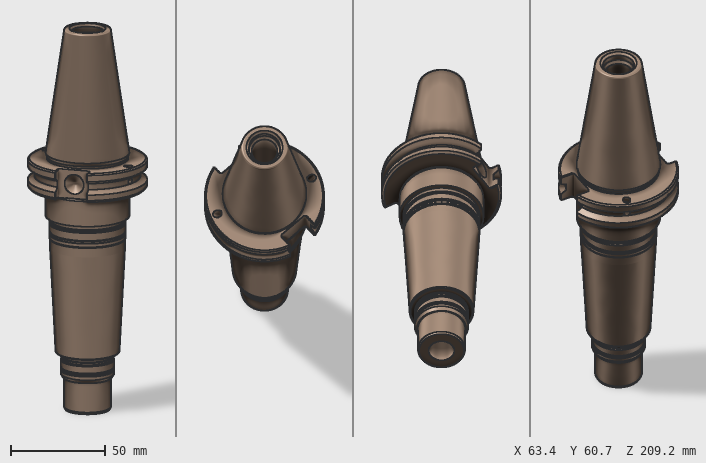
import cadquery as cq
import math

TOTAL_LENGTH = 209.2
GAUGE_Z = 141.0
GAUGE_DIAMETER = 44.5
TAPER_END_DIAMETER = 24.7
TAPER_END_ROUNDING = 1.3
TAPER_NECK_DIAMETER = 43.3
TAPER_NECK_TOP_Z = 139.0

FLANGE_DIAMETER = 63.4
FLANGE_TOP_Z = 137.8
FLANGE_THICKNESS = 15.9
FLANGE_TOP_CHAMFER = 0.8
FLANGE_BOTTOM_CHAMFER = 1.3
GROOVE_FLOOR_DIAMETER = 56.5
GROOVE_Z = 129.9
GROOVE_FLOOR_WIDTH = 3.3
GROOVE_WALL_ANGLE = 30.0

SLOT_WIDTH = 17.2
SLOT_FLOOR_FRONT = 24.7
SLOT_FLOOR_BACK = 22.4
SLOT_EDGE_CHAMFER = 0.5
SLOT_CORNER_RADIUS = 0.8
DIMPLE_DIAMETER = 10.7
DIMPLE_CONE_ANGLE = 118.0

COOLANT_HOLE_DIAMETER = 4.0
COOLANT_HOLE_TILT = 35.0
COOLANT_HOLE_MOUTH_RADIUS = 27.0
RADIAL_HOLE_DIAMETER = 3.3
COOLANT_PASSAGE_ANGLES = (160.0, 340.0)

COLLAR_DIAMETER = 44.5
COLLAR_NECK_DIAMETER = 42.7
COLLAR_NECK_BOTTOM_Z = 121.0
COLLAR_TOP_Z = 120.0
COLLAR_BOTTOM_Z = 106.2

BAND_DIAMETER = 40.5
BODY_DIAMETER = 40.0
BODY_END_DIAMETER = 34.0
BAND_CHAMFER_HEIGHT = 0.6
BAND_GROOVE_DIAMETER = 39.3
UPPER_BAND_GROOVE_TOP_Z = 103.7
UPPER_BAND_GROOVE_BOTTOM_Z = 102.0
LOWER_BAND_GROOVE_TOP_Z = 97.9
LOWER_BAND_GROOVE_BOTTOM_Z = 96.2
BAND_BOTTOM_Z = 93.7
BODY_TAPER_TOP_Z = 88.7
BODY_BOTTOM_Z = 31.2
BODY_END_CHAMFER = 0.6

RING_DIAMETER = 28.5
RING_CHAMFER_HEIGHT = 0.6
RING_TOP_DIAMETER = 27.2
RING_UPPER_GROOVE_TOP_Z = 29.3
RING_UPPER_GROOVE_BOTTOM_Z = 27.0
RING_UPPER_GROOVE_DIAMETER = 27.2
RING_LOWER_GROOVE_TOP_Z = 23.2
RING_LOWER_GROOVE_BOTTOM_Z = 21.3
RING_LOWER_GROOVE_DIAMETER = 27.6
RING_CONE_TOP_Z = 19.5
RING_BOTTOM_Z = 17.4
RING_BOTTOM_DIAMETER = 26.0
PILOT_DIAMETER = 25.0
PILOT_END_CHAMFER_WIDTH = 0.6
PILOT_END_CHAMFER_HEIGHT = 1.3

BORE_DIAMETER = 13.5
COUNTERBORE_DIAMETER = 16.5
COUNTERBORE_DEPTH = 4.4
BORE_MOUTH_DIAMETER = 19.2

FLANGE_BOTTOM_Z = FLANGE_TOP_Z - FLANGE_THICKNESS
GROOVE_DEPTH = (FLANGE_DIAMETER - GROOVE_FLOOR_DIAMETER) / 2
GROOVE_WALL_HEIGHT = GROOVE_DEPTH * math.tan(math.radians(GROOVE_WALL_ANGLE))


def revolve_profile(points):
    """Revolve (diameter, z) points, closed along the Z axis."""
    outline = [(0, points[0][1])] + [(d / 2, z) for d, z in points] + [(0, points[-1][1])]
    return cq.Workplane("XZ").polyline(outline).close().revolve(360, (0, 0), (0, 1))


def taper_points():
    return [
        (TAPER_END_DIAMETER, TOTAL_LENGTH),
        (GAUGE_DIAMETER, GAUGE_Z),
        (TAPER_NECK_DIAMETER, TAPER_NECK_TOP_Z),
        (TAPER_NECK_DIAMETER, FLANGE_TOP_Z),
    ]


def flange_points():
    floor_top = GROOVE_Z + GROOVE_FLOOR_WIDTH / 2
    floor_bottom = GROOVE_Z - GROOVE_FLOOR_WIDTH / 2
    return [
        (FLANGE_DIAMETER - 2 * FLANGE_TOP_CHAMFER, FLANGE_TOP_Z),
        (FLANGE_DIAMETER, FLANGE_TOP_Z - FLANGE_TOP_CHAMFER),
        (FLANGE_DIAMETER, floor_top + GROOVE_WALL_HEIGHT),
        (GROOVE_FLOOR_DIAMETER, floor_top),
        (GROOVE_FLOOR_DIAMETER, floor_bottom),
        (FLANGE_DIAMETER, floor_bottom - GROOVE_WALL_HEIGHT),
        (FLANGE_DIAMETER, FLANGE_BOTTOM_Z + FLANGE_BOTTOM_CHAMFER),
        (FLANGE_DIAMETER - 2 * FLANGE_BOTTOM_CHAMFER, FLANGE_BOTTOM_Z),
    ]


def body_points():
    return [
        (COLLAR_NECK_DIAMETER, FLANGE_BOTTOM_Z),
        (COLLAR_NECK_DIAMETER, COLLAR_NECK_BOTTOM_Z),
        (COLLAR_DIAMETER, COLLAR_TOP_Z),
        (COLLAR_DIAMETER, COLLAR_BOTTOM_Z),
        (BAND_DIAMETER, COLLAR_BOTTOM_Z),
        (BAND_DIAMETER, UPPER_BAND_GROOVE_TOP_Z),
        (BAND_GROOVE_DIAMETER, UPPER_BAND_GROOVE_TOP_Z),
        (BAND_GROOVE_DIAMETER, UPPER_BAND_GROOVE_BOTTOM_Z + BAND_CHAMFER_HEIGHT),
        (BAND_DIAMETER, UPPER_BAND_GROOVE_BOTTOM_Z),
        (BAND_DIAMETER, LOWER_BAND_GROOVE_TOP_Z),
        (BAND_GROOVE_DIAMETER, LOWER_BAND_GROOVE_TOP_Z - BAND_CHAMFER_HEIGHT),
        (BAND_GROOVE_DIAMETER, LOWER_BAND_GROOVE_BOTTOM_Z),
        (BAND_DIAMETER, LOWER_BAND_GROOVE_BOTTOM_Z),
        (BAND_DIAMETER, BAND_BOTTOM_Z + BAND_CHAMFER_HEIGHT),
        (BODY_DIAMETER, BAND_BOTTOM_Z),
        (BODY_DIAMETER, BODY_TAPER_TOP_Z),
        (BODY_END_DIAMETER, BODY_BOTTOM_Z + BODY_END_CHAMFER),
        (BODY_END_DIAMETER - 2 * BODY_END_CHAMFER, BODY_BOTTOM_Z),
    ]


def ring_groove_points(diameter, top_z, bottom_z):
    return [
        (RING_DIAMETER, top_z),
        (diameter, top_z - RING_CHAMFER_HEIGHT),
        (diameter, bottom_z + RING_CHAMFER_HEIGHT),
        (RING_DIAMETER, bottom_z),
    ]


def ring_and_pilot_points():
    return [
        (RING_TOP_DIAMETER, BODY_BOTTOM_Z),
        (RING_DIAMETER, BODY_BOTTOM_Z - RING_CHAMFER_HEIGHT),
        *ring_groove_points(
            RING_UPPER_GROOVE_DIAMETER, RING_UPPER_GROOVE_TOP_Z, RING_UPPER_GROOVE_BOTTOM_Z
        ),
        *ring_groove_points(
            RING_LOWER_GROOVE_DIAMETER, RING_LOWER_GROOVE_TOP_Z, RING_LOWER_GROOVE_BOTTOM_Z
        ),
        (RING_DIAMETER, RING_CONE_TOP_Z),
        (RING_BOTTOM_DIAMETER, RING_BOTTOM_Z),
        (PILOT_DIAMETER, RING_BOTTOM_Z),
        (PILOT_DIAMETER, PILOT_END_CHAMFER_HEIGHT),
        (PILOT_DIAMETER - 2 * PILOT_END_CHAMFER_WIDTH, 0),
    ]


def central_bore():
    """Through bore with a 45 degree mouth, a short counterbore and a 45 degree step."""
    mouth_depth = (BORE_MOUTH_DIAMETER - COUNTERBORE_DIAMETER) / 2
    step_depth = (COUNTERBORE_DIAMETER - BORE_DIAMETER) / 2
    step_z = TOTAL_LENGTH - COUNTERBORE_DEPTH
    return revolve_profile([
        (BORE_MOUTH_DIAMETER, TOTAL_LENGTH),
        (COUNTERBORE_DIAMETER, TOTAL_LENGTH - mouth_depth),
        (COUNTERBORE_DIAMETER, step_z),
        (BORE_DIAMETER, step_z - step_depth),
        (BORE_DIAMETER, 0),
    ])


def drive_slot(side, floor_distance):
    """Round-cornered, edge-flared slot cutter opening toward +Y (side = 1) or -Y (side = -1)."""
    half = SLOT_WIDTH / 2
    wide = half + SLOT_EDGE_CHAMFER
    depth = FLANGE_DIAMETER / 2 - floor_distance
    slot = (
        cq.Workplane("XY", origin=(0, floor_distance + depth / 2, FLANGE_BOTTOM_Z))
        .rect(SLOT_WIDTH, depth)
        .extrude(FLANGE_THICKNESS)
        .edges("|Z and <Y")
        .fillet(SLOT_CORNER_RADIUS)
    )

    flare_start_y = floor_distance + SLOT_CORNER_RADIUS
    bottom_flare = (
        cq.Workplane("XZ", origin=(0, flare_start_y, FLANGE_BOTTOM_Z))
        .polyline([(-wide, 0), (wide, 0), (half, SLOT_EDGE_CHAMFER), (-half, SLOT_EDGE_CHAMFER)])
        .close()
        .extrude(flare_start_y - FLANGE_DIAMETER / 2)
    )
    top_flare = bottom_flare.mirror("XY", (0, 0, FLANGE_TOP_Z - FLANGE_THICKNESS / 2))

    rim_y = math.sqrt((FLANGE_DIAMETER / 2) ** 2 - wide ** 2)
    outer_y = FLANGE_DIAMETER / 2
    outer_x = wide + outer_y - rim_y
    inner_y = rim_y - SLOT_EDGE_CHAMFER
    rim_flare = (
        cq.Workplane("XY", origin=(0, 0, FLANGE_BOTTOM_Z))
        .polyline([(-half, inner_y), (half, inner_y), (outer_x, outer_y), (-outer_x, outer_y)])
        .close()
        .extrude(FLANGE_THICKNESS)
    )
    cutter = slot.union(bottom_flare).union(top_flare).union(rim_flare)
    return cutter if side > 0 else cutter.mirror("XZ")


def slot_dimple():
    """Conical dimple in the floor of the -Y slot."""
    radius = DIMPLE_DIAMETER / 2
    depth = radius / math.tan(math.radians(DIMPLE_CONE_ANGLE / 2))
    mouth_center = cq.Vector(0, -SLOT_FLOOR_FRONT, GROOVE_Z)
    cone = cq.Solid.makeCone(radius, 0, depth, mouth_center, cq.Vector(0, 1, 0))
    return cq.Workplane(cone)


def hole_along(start, end, diameter):
    """Cylindrical cutter between two (radius, z) points in the XZ half-plane."""
    axis = cq.Vector(end[0] - start[0], 0, end[1] - start[1])
    base = cq.Vector(start[0], 0, start[1])
    return cq.Workplane(cq.Solid.makeCylinder(diameter / 2, axis.Length, base, axis))


def coolant_passage(angle):
    """Inclined hole from the flange top and radial hole from the groove floor, meeting at groove height."""
    tilt = math.radians(COOLANT_HOLE_TILT)
    meeting_radius = COOLANT_HOLE_MOUTH_RADIUS - (FLANGE_TOP_Z - GROOVE_Z) * math.tan(tilt)
    meeting_point = (meeting_radius, GROOVE_Z)
    overshoot = COOLANT_HOLE_DIAMETER
    start = (COOLANT_HOLE_MOUTH_RADIUS + overshoot * math.tan(tilt), FLANGE_TOP_Z + overshoot)
    inclined_hole = hole_along(start, meeting_point, COOLANT_HOLE_DIAMETER)
    radial_hole = hole_along((FLANGE_DIAMETER / 2, GROOVE_Z), meeting_point, RADIAL_HOLE_DIAMETER)
    return inclined_hole.union(radial_hole).rotate((0, 0, 0), (0, 0, 1), angle)


holder = revolve_profile(taper_points() + flange_points() + body_points() + ring_and_pilot_points())
holder = holder.faces(">Z").edges().fillet(TAPER_END_ROUNDING)

result = (
    holder.cut(central_bore())
    .cut(drive_slot(-1, SLOT_FLOOR_FRONT))
    .cut(drive_slot(1, SLOT_FLOOR_BACK))
    .cut(slot_dimple())
)
for passage_angle in COOLANT_PASSAGE_ANGLES:
    result = result.cut(coolant_passage(passage_angle))